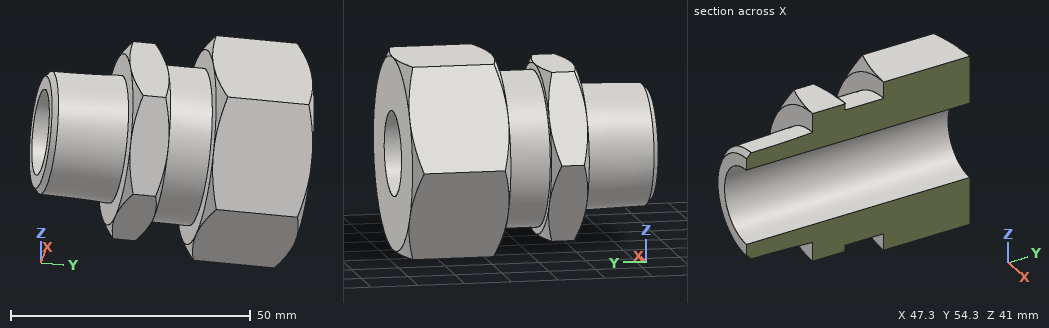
import cadquery as cq
import math

total_length = 54.25
spigot_length = 16.0
body_hex_length = 8.05
nut_length = 21.0

nut_flats = 41.0
body_hex_flats = 36.0
corner_chamfer_angle = 30.0

collar_diameter = 33.1
bore_diameter = 18.0
gauge_diameter = 26.45
gauge_distance = 9.55
taper = 1 / 16
tip_chamfer = 1.15

body_hex_start = spigot_length
collar_start = body_hex_start + body_hex_length
nut_start = total_length - nut_length


def revolve_about_y(profile):
    """Revolve a closed (radius, Y) profile about the Y axis."""
    return cq.Workplane("XY").polyline(profile).close().revolve(360, (0, 0, 0), (0, 1, 0))


def cylinder(diameter, start, end):
    radius = diameter / 2
    return revolve_about_y([(0, start), (radius, start), (radius, end), (0, end)])


def chamfered_hexagon(flats, start, length):
    """Hexagonal prism along Y, corners on X, with both ends turned to a cone."""
    corner_radius = flats / 2 / math.cos(math.radians(30))
    end = start + length
    prism = (
        cq.Workplane("XZ", origin=(0, start, 0))
        .polygon(6, 2 * corner_radius)
        .extrude(-length)
    )
    face_radius = flats / 2
    chamfer_depth = (corner_radius - face_radius) * math.tan(math.radians(corner_chamfer_angle))
    envelope = revolve_about_y([
        (0, start),
        (face_radius, start),
        (corner_radius, start + chamfer_depth),
        (corner_radius, end - chamfer_depth),
        (face_radius, end),
        (0, end),
    ])
    return prism.intersect(envelope)


def spigot_radius(y):
    return (gauge_diameter + taper * (y - gauge_distance)) / 2


def tapered_spigot():
    """Tapered end, with its cone split at the gauge plane and a chamfered tip."""
    return revolve_about_y([
        (0, 0),
        (spigot_radius(tip_chamfer) - tip_chamfer, 0),
        (spigot_radius(tip_chamfer), tip_chamfer),
        (spigot_radius(gauge_distance), gauge_distance),
        (spigot_radius(spigot_length), spigot_length),
        (0, spigot_length),
    ])


result = (
    tapered_spigot()
    .union(chamfered_hexagon(body_hex_flats, body_hex_start, body_hex_length))
    .union(cylinder(collar_diameter, collar_start, nut_start))
    .union(chamfered_hexagon(nut_flats, nut_start, nut_length))
    .cut(cylinder(bore_diameter, 0, total_length))
)